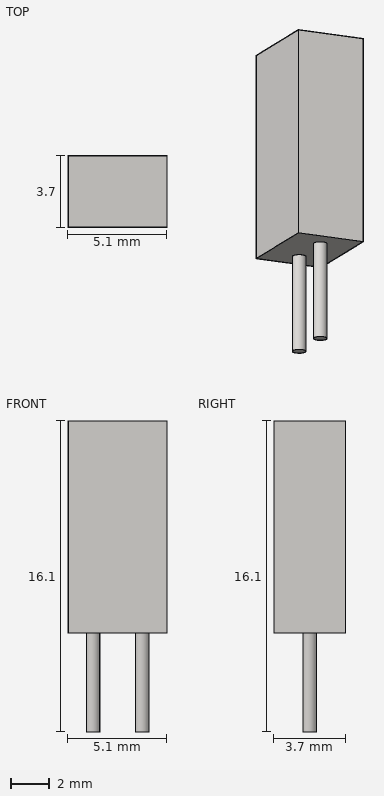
import cadquery as cq

total_height = 16.05
body_width = 5.1
body_depth = 3.7
lead_length = 5.1
body_height = total_height - lead_length

lead_diameter = 0.7
lead_pitch = 2.54


def make_body():
    """Plain rectangular body standing on the plane Z = 0."""
    return cq.Workplane("XY").box(body_width, body_depth, body_height, centered=(True, True, False))


def make_lead(x):
    """Round lead hanging from the underside of the body."""
    return cq.Workplane("XY").center(x, 0).circle(lead_diameter / 2).extrude(-lead_length)


body = make_body()
leads = [make_lead(side * lead_pitch / 2) for side in (-1, 1)]

result = cq.Compound.makeCompound([body.val(), *[lead.val() for lead in leads]])